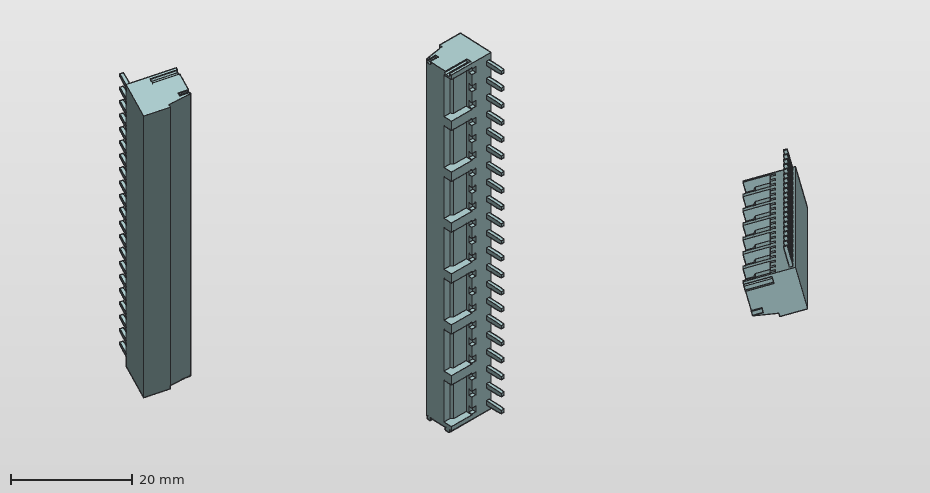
import cadquery as cq

pin_count = 21
pins_per_module = 3
total_height = 74.05
tab_height = 0.6
body_width = 7.3
body_depth = 9.0
pin_length = 3.55

body_height = total_height - tab_height
pin_pitch = body_height / pin_count
module_count = pin_count // pins_per_module
module_pitch = pin_pitch * pins_per_module

back_width = 6.0
slope_foot_x = 6.75
ledge_y = body_depth - 4.2

pin_width = 0.9
pin_thickness = 0.7
pin_y = 0.75
tip_length = 0.95
tip_width = 0.7

end_wall = 0.95
pocket_length = 4.7
deep_length = 1.3
slope_end = 1.8
deep_depth = 1.8
shallow_depth = 1.3

notch_depth = 0.75
notch_length = 5.55
notch_width = 1.2

waist_drop = 0.4
long_key_x = 0.95
long_key_length = 4.9
long_key_neck = 0.95
long_key_waist = 1.25
long_key_foot = 0.7
short_key_x = 5.4
short_key_length = 1.85
short_key_neck = 0.7
short_key_waist = 0.9
short_key_foot = 0.7


def make_body():
    outline = [
        (0, 0),
        (body_width, 0),
        (body_width, ledge_y),
        (slope_foot_x, ledge_y),
        (back_width, body_depth),
        (0, body_depth),
    ]
    return cq.Workplane("XY").polyline(outline).close().extrude(body_height)


def make_pocket(base_z):
    outline = [
        (0, body_depth),
        (deep_depth, body_depth),
        (deep_depth, body_depth - deep_length),
        (shallow_depth, body_depth - slope_end),
        (shallow_depth, body_depth - pocket_length),
        (0, body_depth - pocket_length),
    ]
    height = module_pitch - 2 * end_wall
    return cq.Workplane("XY", origin=(0, 0, base_z + end_wall)).polyline(outline).close().extrude(height)


def make_notch(center_z):
    return cq.Workplane("XY").box(
        notch_depth, notch_length - pocket_length, notch_width, centered=(False, False, True)
    ).translate((0, body_depth - notch_length, center_z))


def make_pin(center_z):
    outline = [
        (0, pin_width / 2),
        (tip_length - pin_length, pin_width / 2),
        (-pin_length, tip_width / 2),
        (-pin_length, -tip_width / 2),
        (tip_length - pin_length, -pin_width / 2),
        (0, -pin_width / 2),
    ]
    origin = (0, pin_y, center_z)
    return cq.Workplane("XZ", origin=origin).polyline(outline).close().extrude(pin_thickness / 2, both=True)


def make_key(center_x, length, neck, waist, foot, neck_z):
    """Bar below neck_z, starting at the back face and widest at its waist."""
    waist_z = neck_z - waist_drop
    foot_z = neck_z - tab_height
    outline = [
        (center_x - neck / 2, neck_z),
        (center_x + neck / 2, neck_z),
        (center_x + waist / 2, waist_z),
        (center_x + foot / 2, foot_z),
        (center_x - foot / 2, foot_z),
        (center_x - waist / 2, waist_z),
    ]
    return cq.Workplane("XZ", origin=(0, body_depth, 0)).polyline(outline).close().extrude(length)


result = make_body()

for module in range(module_count):
    result = result.cut(make_pocket(module * module_pitch))

for index in range(pin_count):
    center_z = (index + 0.5) * pin_pitch
    result = result.cut(make_notch(center_z)).union(make_pin(center_z))

for key in [
    (long_key_x, long_key_length, long_key_neck, long_key_waist, long_key_foot),
    (short_key_x, short_key_length, short_key_neck, short_key_waist, short_key_foot),
]:
    result = result.cut(make_key(*key, body_height)).union(make_key(*key, 0))